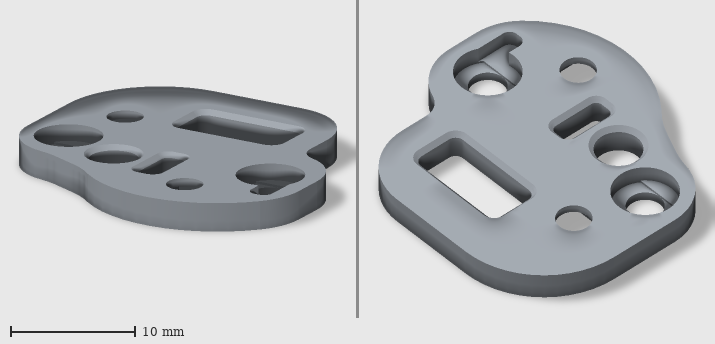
import cadquery as cq
import math

length = 27.1
width = 25.35
thickness = 2.4

top_left_radius = 8.45
top_right_radius = 5.75
upper_right_edge = 22.5
neck_radius = 2.0
lobe_radius = 4.99
left_lobe_y = 10.33
right_lobe_y = 10.4
bottom_radius = 11.1
bottom_x = 17.35
bottom_start_x = 10.38
bottom_end_x = 25.72
left_lobe_end_x = 4.12
flank_start = (6.42, 4.65)
flank_end = (8.13, 3.93)

screw_y = 9.85
left_screw_x = 4.12
right_screw_x = 23.05
left_screw_diameter = 3.15
right_screw_diameter = 3.2
head_diameter = 5.6
head_depth = 1.4
strip_step = 0.2
relief_left = 23.6
relief_right = 25.58
relief_bottom = 5.15
relief_corner_radius = 0.79

pin_diameter = 3.0
pin_centers = [(5.58, 16.23), (18.35, 4.3)]
pin_web = 0.7
left_pocket_size = (7.15, 6.18)
left_pocket_center = (5.58, 16.77)
right_pocket_size = (5.47, 6.4)
right_pocket_center = (18.32, 4.8)
opening_chamfer = 0.4
round_diameter = 4.0
round_center = (9.57, 7.83)
window_size = (9.55, 4.55)
window_center = (14.75, 18.7)
window_corner_radius = 0.79
slot_size = (2.03, 5.0)
slot_center = (13.95, 7.83)
slot_corner_radius = 0.6


def point_on_circle(center, radius, angle):
    return (center[0] + radius * math.cos(angle), center[1] + radius * math.sin(angle))


def lower_angle(center, radius, x):
    """Angle of the point with the given X on the lower half of a circle."""
    return -math.acos((x - center[0]) / radius)


def make_plate():
    left_lobe = (lobe_radius, left_lobe_y)
    right_lobe = (length - lobe_radius, right_lobe_y)
    bottom = (bottom_x, bottom_radius)

    neck_x = upper_right_edge + neck_radius
    neck_y = right_lobe_y + math.sqrt((lobe_radius + neck_radius) ** 2 - (neck_x - right_lobe[0]) ** 2)
    neck_angle = math.atan2(neck_y - right_lobe_y, neck_x - right_lobe[0])

    left_end_angle = lower_angle(left_lobe, lobe_radius, left_lobe_end_x)
    left_middle_angle = (left_end_angle - math.pi) / 2
    bottom_start_angle = lower_angle(bottom, bottom_radius, bottom_start_x)
    bottom_end_angle = lower_angle(bottom, bottom_radius, bottom_end_x)
    bottom_end = point_on_circle(bottom, bottom_radius, bottom_end_angle)

    corner_radius = (length - bottom_end_x) / (1 - math.cos(bottom_end_angle))
    corner_end_y = bottom_end[1] - corner_radius * math.sin(bottom_end_angle)

    return (
        cq.Workplane("XY")
        .moveTo(0, left_lobe_y)
        .threePointArc(
            point_on_circle(left_lobe, lobe_radius, left_middle_angle),
            point_on_circle(left_lobe, lobe_radius, left_end_angle),
        )
        .tangentArcPoint(flank_start, relative=False)
        .lineTo(*flank_end)
        .tangentArcPoint(point_on_circle(bottom, bottom_radius, bottom_start_angle), relative=False)
        .threePointArc((bottom_x, 0), bottom_end)
        .tangentArcPoint((length, corner_end_y), relative=False)
        .lineTo(length, right_lobe_y)
        .threePointArc(
            point_on_circle(right_lobe, lobe_radius, neck_angle / 2),
            point_on_circle(right_lobe, lobe_radius, neck_angle),
        )
        .tangentArcPoint((upper_right_edge, neck_y), relative=False)
        .lineTo(upper_right_edge, width - top_right_radius)
        .tangentArcPoint((upper_right_edge - top_right_radius, width), relative=False)
        .lineTo(top_left_radius, width)
        .tangentArcPoint((0, width - top_left_radius), relative=False)
        .close()
        .extrude(thickness)
    )


def screw_seat(x, hole_diameter):
    """Head recess, a slightly deeper strip across it and the screw hole."""
    floor = thickness - head_depth
    base = cq.Workplane("XY").center(x, screw_y)
    head = base.workplane(offset=floor).circle(head_diameter / 2).extrude(head_depth)
    strip_floor = base.workplane(offset=floor - strip_step)
    strip = strip_floor.rect(head_diameter, hole_diameter).extrude(strip_step)
    strip_limit = strip_floor.circle(head_diameter / 2).extrude(strip_step)
    hole = base.circle(hole_diameter / 2).extrude(thickness)
    return head.union(strip.intersect(strip_limit)).union(hole)


def relief_slot():
    slot_width = relief_right - relief_left
    slot_length = screw_y - relief_bottom
    return (
        cq.Workplane("XY", origin=(relief_left, relief_bottom, thickness - head_depth))
        .box(slot_width, slot_length, head_depth, centered=False)
        .edges("|Z and <Y")
        .fillet(relief_corner_radius)
    )


def round_opening(diameter, center):
    return cq.Workplane("XY").center(*center).circle(diameter / 2).extrude(thickness)


def rectangular_opening(size, center, corner_radius):
    blank = cq.Workplane("XY").center(*center).rect(*size).extrude(thickness)
    return blank.edges("|Z").fillet(corner_radius)


def underside_pocket(size, center):
    return cq.Workplane("XY").center(*center).rect(*size).extrude(thickness - pin_web)


plate = make_plate()

plate = plate.cut(round_opening(round_diameter, round_center))
plate = plate.cut(rectangular_opening(window_size, window_center, window_corner_radius))
plate = plate.cut(rectangular_opening(slot_size, slot_center, slot_corner_radius))
top_face = plate.faces(">Z").val()
rim_edges = [edge for rim in top_face.innerWires() for edge in rim.Edges()]
plate = plate.newObject(rim_edges).chamfer(opening_chamfer)

for pin_center in pin_centers:
    plate = plate.cut(round_opening(pin_diameter, pin_center))
plate = plate.cut(underside_pocket(left_pocket_size, left_pocket_center))
plate = plate.cut(underside_pocket(right_pocket_size, right_pocket_center))

plate = plate.cut(screw_seat(left_screw_x, left_screw_diameter))
plate = plate.cut(screw_seat(right_screw_x, right_screw_diameter))
result = plate.cut(relief_slot())